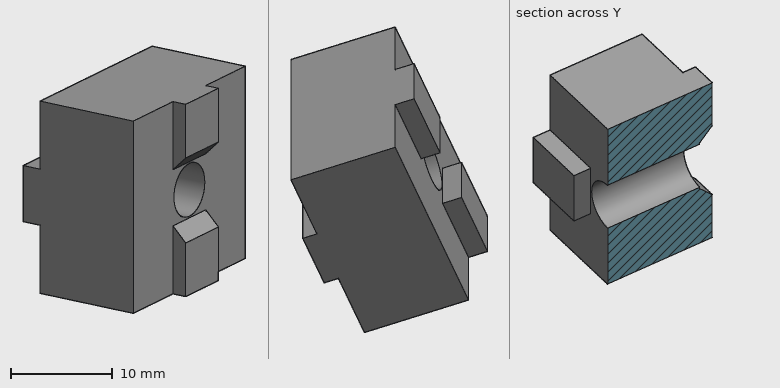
import cadquery as cq

block_depth = 11.0
block_side = 20.0

key_width = 5.85
tab_height = 2.0
rib_height = 1.5
bore_diameter = 5.5


def make_block():
    return cq.Workplane("XY").box(block_depth, block_side, block_side, centered=(False, True, True))


def make_split_tab():
    """Bar along Y on the -X face, interrupted by a central gap."""
    bar = cq.Workplane("XY").box(tab_height, block_side, key_width)
    gap = cq.Workplane("XY").box(tab_height, key_width, key_width)
    return bar.cut(gap).translate((-tab_height / 2, 0, 0))


def make_notched_rib():
    """Rib along Z on the +X face, with a central notch flaring outward at 45 degrees."""
    rib_base = block_depth
    rib_top = block_depth + rib_height
    notch_half = key_width / 2
    mouth_half = notch_half + rib_height
    rib = cq.Workplane("XY").box(rib_height, key_width, block_side)
    rib = rib.translate((rib_base + rib_height / 2, 0, 0))
    notch = (
        cq.Workplane("XZ")
        .moveTo(rib_base, -notch_half)
        .lineTo(rib_top, -mouth_half)
        .lineTo(rib_top, mouth_half)
        .lineTo(rib_base, notch_half)
        .close()
        .extrude(key_width / 2, both=True)
    )
    return rib.cut(notch)


def make_bore():
    return cq.Workplane("YZ").circle(bore_diameter / 2).extrude(block_depth)


result = make_block().union(make_split_tab()).union(make_notched_rib()).cut(make_bore())